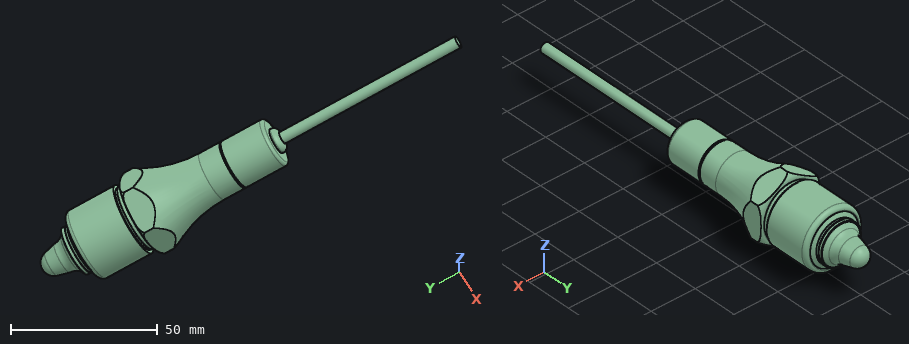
import cadquery as cq
import math

LENGTH = 165.8

DOME_R = 4.6
DOME_END = 3.5
NOSE_BASE_R = 5.6
NOSE_BASE = 8.0
FLARE_R = 7.0
FLARE_END = 11.5
FLARE_MID_R = 6.0
FLARE_MID = 9.8

FLANGE_R = 9.1
CONE_END_R = 8.6
FLANGE_START = 13.0
FLANGE_END = 14.5
NECK_R = 8.8
NECK_END_R = 9.1
NECK_END = 15.4

SLEEVE_R = 13.3
SHOULDER_R = 11.0
SHOULDER = 16.4
SHOULDER_ROUND = 1.8
SLEEVE_END = 36.3

COLLAR_R = 24.4 / 2
COLLAR_RELIEF_R = 12.0
COLLAR_RELIEF_END = 37.1
COLLAR_END = 38.8

HEX_FLATS = 27.0
HEX_CORNER_R = HEX_FLATS / math.sqrt(3)
HEX_FACE_R = 12.6
HEX_ROUND_END = 40.8
HEX_CROWN_R = 14.6
HEX_CROWN = 39.5

BODY_R = 18.0 / 2
WAIST_END = 67.6
WAIST_ARC_R = 44.8
BODY_END = 93.2
BODY_END_ROUND = 1.2
GROOVE_START = 76.0
GROOVE_WIDTH = 0.5
GROOVE_DEPTH = 0.3

SEAL_R = 4.6
SEAL_END = 95.6
SEAL_ROUND = 2.0
CABLE_R = 4.5 / 2

ROUND_45 = math.sqrt(0.5)


def waist_reach(radius):
    """Distance ahead of the barrel at which the waist arc reaches a radius."""
    height = WAIST_ARC_R - (radius - BODY_R)
    return math.sqrt(WAIST_ARC_R**2 - height**2)


def waist_radius(reach):
    """Radius of the waist at a distance ahead of the barrel."""
    return BODY_R + WAIST_ARC_R - math.sqrt(WAIST_ARC_R**2 - reach**2)


def at(radius, station):
    """Profile point at a radius and a station behind the nose tip."""
    return (radius, -station)


def round_over(profile, radius, start, size):
    """Convex quarter round from an end face out to a cylinder of the given radius."""
    middle = at(radius - size * (1 - ROUND_45), start + size * (1 - ROUND_45))
    return profile.threePointArc(middle, at(radius, start + size))


def round_in(profile, radius, end, size):
    """Convex quarter round from a cylinder of the given radius into its end face."""
    profile = profile.lineTo(*at(radius, end - size))
    middle = at(radius - size * (1 - ROUND_45), end - size * (1 - ROUND_45))
    return profile.threePointArc(middle, at(radius - size, end))


def dome_point(station):
    """Point on the spherical nose dome at a station."""
    return at(math.sqrt(DOME_R**2 - (DOME_R - station) ** 2), station)


def revolve(profile):
    return profile.close().revolve(360, (0, 0, 0), (0, 1, 0))


def make_head():
    """Nose, flange, sleeve and collar."""
    profile = cq.Workplane("XY").moveTo(0, 0)
    profile = (
        profile.threePointArc(dome_point(DOME_END / 2), dome_point(DOME_END))
        .lineTo(*at(NOSE_BASE_R, NOSE_BASE))
        .threePointArc(at(FLARE_MID_R, FLARE_MID), at(FLARE_R, FLARE_END))
        .lineTo(*at(CONE_END_R, FLANGE_START))
        .lineTo(*at(FLANGE_R, FLANGE_START))
        .lineTo(*at(FLANGE_R, FLANGE_END))
        .lineTo(*at(NECK_R, FLANGE_END))
        .lineTo(*at(NECK_END_R, NECK_END))
        .lineTo(*at(SHOULDER_R, SHOULDER))
        .lineTo(*at(SLEEVE_R - SHOULDER_ROUND, SHOULDER))
    )
    profile = round_over(profile, SLEEVE_R, SHOULDER, SHOULDER_ROUND)
    profile = (
        profile.lineTo(*at(SLEEVE_R, SLEEVE_END))
        .lineTo(*at(COLLAR_RELIEF_R, SLEEVE_END))
        .lineTo(*at(COLLAR_RELIEF_R, COLLAR_RELIEF_END))
        .lineTo(*at(COLLAR_R, COLLAR_RELIEF_END))
        .lineTo(*at(COLLAR_R, COLLAR_END))
        .lineTo(*at(0, COLLAR_END))
    )
    return revolve(profile)


def make_body():
    """Rounded hexagon crown, waist and grooved barrel, cut to the hexagon's flats."""
    reach = waist_reach(HEX_CORNER_R)
    middle = at(waist_radius(reach / 2), WAIST_END - reach / 2)
    groove_end = GROOVE_START + GROOVE_WIDTH
    profile = (
        cq.Workplane("XY")
        .moveTo(*at(0, COLLAR_END))
        .lineTo(*at(HEX_FACE_R, COLLAR_END))
        .threePointArc(at(HEX_CROWN_R, HEX_CROWN), at(HEX_CORNER_R, HEX_ROUND_END))
        .lineTo(*at(HEX_CORNER_R, WAIST_END - reach))
        .threePointArc(middle, at(BODY_R, WAIST_END))
        .lineTo(*at(BODY_R, GROOVE_START))
        .lineTo(*at(BODY_R - GROOVE_DEPTH, GROOVE_START))
        .lineTo(*at(BODY_R - GROOVE_DEPTH, groove_end))
        .lineTo(*at(BODY_R, groove_end))
    )
    profile = round_in(profile, BODY_R, BODY_END, BODY_END_ROUND)
    turned = revolve(profile.lineTo(*at(0, BODY_END)))

    hexagon = (
        cq.Workplane("XZ", origin=(0, -COLLAR_END, 0))
        .transformed(rotate=(0, 0, 90))
        .polygon(6, 2 * HEX_CORNER_R)
        .extrude(BODY_END - COLLAR_END)
    )
    return turned.intersect(hexagon)


def make_cable():
    """Rounded seal and the cable leaving it."""
    profile = cq.Workplane("XY").moveTo(*at(0, BODY_END)).lineTo(*at(SEAL_R, BODY_END))
    profile = round_in(profile, SEAL_R, SEAL_END, SEAL_ROUND)
    profile = (
        profile.lineTo(*at(CABLE_R, SEAL_END))
        .lineTo(*at(CABLE_R, LENGTH))
        .lineTo(*at(0, LENGTH))
    )
    return revolve(profile)


result = make_head().union(make_body()).union(make_cable())